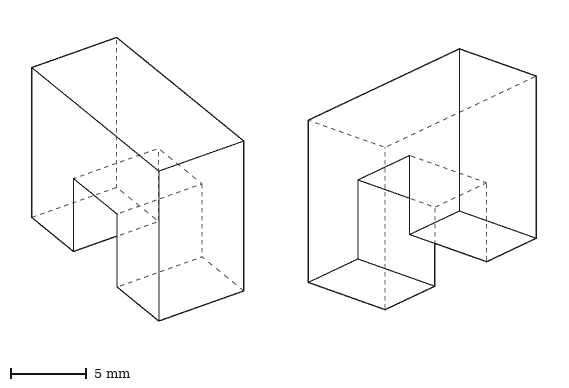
import cadquery as cq

length = 15.2
depth = 6.7
height = 11.7

leg_width = 5.0
bridge_height = 6.0
slot_width = length - 2 * leg_width
slot_height = height - bridge_height

block = cq.Workplane("XY").box(length, depth, height, centered=(True, True, False))
slot = cq.Workplane("XY").box(slot_width, depth, slot_height, centered=(True, True, False))

result = block.cut(slot)